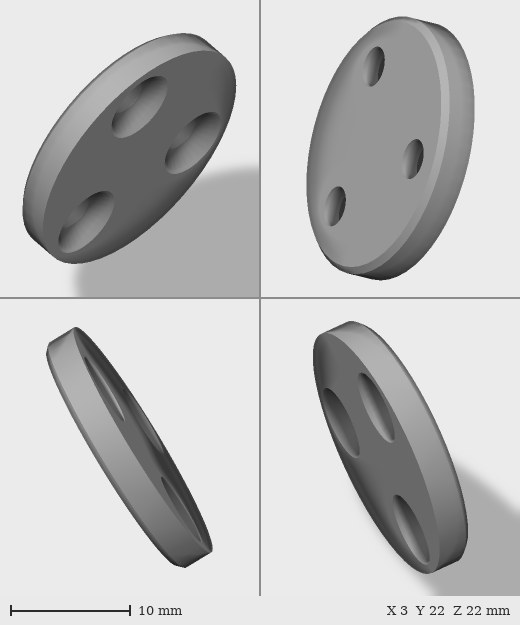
import cadquery as cq

disc_diameter = 22.0
disc_thickness = 3.0
rim_chamfer = 0.5

hole_count = 3
hole_diameter = 3.4
pitch_radius = 7.0
first_hole_angle = 90
countersink_depth = disc_thickness / 2
countersink_angle = 90
countersink_diameter = hole_diameter + 2 * countersink_depth


def make_disc():
    disc = cq.Workplane("YZ").circle(disc_diameter / 2).extrude(disc_thickness)
    return disc.faces("<X").edges().chamfer(rim_chamfer)


def add_countersunk_holes(disc):
    return (
        disc.faces(">X")
        .workplane(origin=(disc_thickness, 0, 0))
        .polarArray(pitch_radius, first_hole_angle, 360, hole_count)
        .cskHole(hole_diameter, countersink_diameter, countersink_angle)
    )


result = add_countersunk_holes(make_disc())